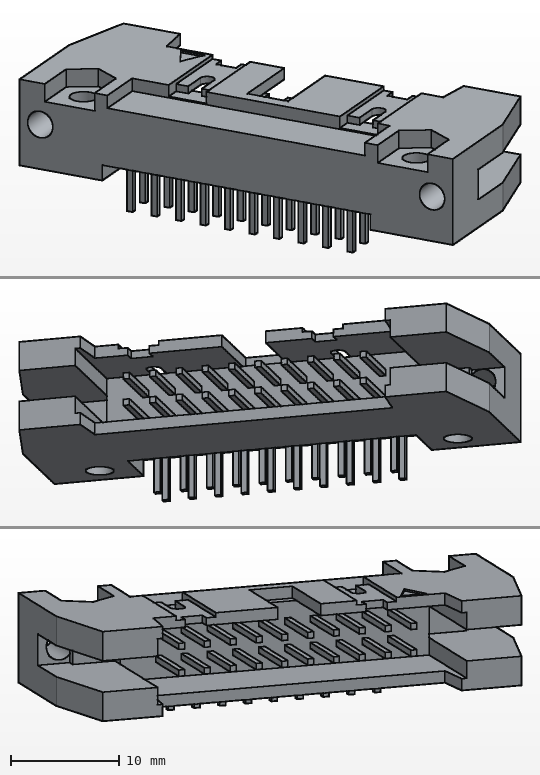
import cadquery as cq
import math


LENGTH = 45.0
DEPTH = 17.3
HEIGHT = 8.5
WALL_DEPTH = 13.8
EAR_TAPER_Y = 10.0
EAR_TIP_OUTER_X = 20.6
EAR_TIP_INNER_X = 14.7
EAR_ROOT_INNER_X = 14.35
MID_Z = HEIGHT / 2

WALL = 1.12
CAVITY_HALF_LENGTH = 15.2
CAVITY_FLOOR_Y = 7.35
SLOT_HEIGHT = 2.95
SLOT_INNER_FLOOR_Y = 5.95
SLOT_OUTER_FLOOR_Y = 5.15
SLOT_STEP_X = 19.35

HOLE_DIAMETER = 2.6
LATCH_HOLE_X = 20.35
LATCH_HOLE_Z = 4.4
MOUNT_HOLE_X = 17.3
MOUNT_HOLE_Y = 2.8
NUT_WIDTH = 5.18
NUT_POCKET_DEPTH = 1.75

TOP_STEP_LENGTH = 26.75
TOP_STEP_DEPTH = 1.25
STEP_WIDTH = 5.0
BOTTOM_STEP_LENGTH = 27.8
BOTTOM_STEP_HEIGHT = 1.55

KEY_WIDTH = 4.25
KEY_ROOT_Y = 6.35
CHANNEL_PITCHES = (-3, 4)
CHANNEL_WIDTH = 3.9
CHANNEL_DEPTH = 0.4
CHANNEL_STEP_Y = 6.5
NOTCH_WIDTH = 2.05
NOTCH_ROOT_Y = 12.75
WINDOW_WIDTH = 1.4
WINDOW_TIP_Y = 9.65

PIN_COUNT = 10
PIN_ROW_SPAN = 22.85
PIN_PITCH = PIN_ROW_SPAN / (PIN_COUNT - 1)
PIN_SIZE = 0.6
PIN_TIP_Y = 13.45
PIN_TIP_Z = -2.9
REAR_PIN_Y = 1.05

MARK_WIDTH = 2.5
MARK_TOP_Y = 13.4
MARK_TIP_Y = 10.95
MARK_DEPTH = 0.2


def block(x_range, y_range, z_range):
    """Box between the given limits on each axis."""
    (x0, x1), (y0, y1), (z0, z1) = x_range, y_range, z_range
    return cq.Workplane("XY").box(x1 - x0, y1 - y0, z1 - z0, centered=False).translate((x0, y0, z0))


def span(center, width):
    return (center - width / 2, center + width / 2)


def housing_blank():
    half_outline = [
        (EAR_ROOT_INNER_X, WALL_DEPTH),
        (EAR_TIP_INNER_X, DEPTH),
        (EAR_TIP_OUTER_X, DEPTH),
        (LENGTH / 2, EAR_TAPER_Y),
        (LENGTH / 2, 0),
    ]
    mirrored = [(-x, y) for x, y in reversed(half_outline)]
    return cq.Workplane("XY").polyline(half_outline + mirrored).close().extrude(HEIGHT)


def cavity_and_latch_slots():
    slot_z = span(MID_Z, SLOT_HEIGHT)
    cavity = block(span(0, 2 * CAVITY_HALF_LENGTH), (CAVITY_FLOOR_Y, DEPTH), (WALL, HEIGHT - WALL))
    for side in (-1, 1):
        inner_x = sorted((side * CAVITY_HALF_LENGTH, side * SLOT_STEP_X))
        outer_x = sorted((side * SLOT_STEP_X, side * LENGTH / 2))
        cavity = cavity.union(block(inner_x, (SLOT_INNER_FLOOR_Y, DEPTH), slot_z))
        cavity = cavity.union(block(outer_x, (SLOT_OUTER_FLOOR_Y, DEPTH), slot_z))
    return cavity


def end_holes(side):
    """Latch hole along Y, mounting hole along Z and its nut pocket at one end."""
    radius = HOLE_DIAMETER / 2
    latch_hole = (
        cq.Workplane("XZ")
        .center(side * LATCH_HOLE_X, LATCH_HOLE_Z)
        .circle(radius)
        .extrude(-SLOT_OUTER_FLOOR_Y)
    )
    mount = cq.Workplane("XY").center(side * MOUNT_HOLE_X, MOUNT_HOLE_Y)
    mount_hole = mount.circle(radius).extrude(HEIGHT)
    nut_radius = NUT_WIDTH / math.sqrt(3)
    pocket = (
        cq.Workplane("XY", origin=(side * MOUNT_HOLE_X, MOUNT_HOLE_Y, HEIGHT - NUT_POCKET_DEPTH))
        .moveTo(-NUT_WIDTH / 2, -MOUNT_HOLE_Y)
        .lineTo(-NUT_WIDTH / 2, nut_radius / 2)
        .lineTo(0, nut_radius)
        .lineTo(NUT_WIDTH / 2, nut_radius / 2)
        .lineTo(NUT_WIDTH / 2, -MOUNT_HOLE_Y)
        .close()
        .extrude(NUT_POCKET_DEPTH)
    )
    return latch_hole.union(mount_hole).union(pocket)


def rear_steps():
    top = block(span(0, TOP_STEP_LENGTH), (0, STEP_WIDTH), (HEIGHT - TOP_STEP_DEPTH, HEIGHT))
    bottom = block(span(0, BOTTOM_STEP_LENGTH), (0, STEP_WIDTH), (0, BOTTOM_STEP_HEIGHT))
    return top.union(bottom)


def key_slot():
    return block(span(0, KEY_WIDTH), (KEY_ROOT_Y, DEPTH), (HEIGHT - WALL, HEIGHT))


def channel(x):
    """Shallow channel across the top wall, as deep as the wall at its rear, with a notch and a window."""
    floor = block(span(x, CHANNEL_WIDTH), (STEP_WIDTH, DEPTH), (HEIGHT - CHANNEL_DEPTH, HEIGHT))
    rear = block(span(x, CHANNEL_WIDTH), (STEP_WIDTH, CHANNEL_STEP_Y), (HEIGHT - WALL, HEIGHT))
    notch = block(span(x, NOTCH_WIDTH), (NOTCH_ROOT_Y, DEPTH), (HEIGHT - WALL, HEIGHT))
    radius = WINDOW_WIDTH / 2
    window = (
        cq.Workplane("XY", origin=(x, 0, HEIGHT - WALL))
        .moveTo(-radius, CHANNEL_STEP_Y)
        .lineTo(-radius, WINDOW_TIP_Y - radius)
        .threePointArc((0, WINDOW_TIP_Y), (radius, WINDOW_TIP_Y - radius))
        .lineTo(radius, CHANNEL_STEP_Y)
        .close()
        .extrude(WALL)
    )
    return floor.union(rear).union(notch).union(window)


def pin_one_mark():
    x = -PIN_ROW_SPAN / 2
    corners = [(x - MARK_WIDTH / 2, MARK_TOP_Y), (x + MARK_WIDTH / 2, MARK_TOP_Y), (x, MARK_TIP_Y)]
    mark_plane = cq.Workplane("XY").workplane(offset=HEIGHT - MARK_DEPTH)
    return mark_plane.polyline(corners).close().extrude(MARK_DEPTH)


def bent_pin(x, tail_y, contact_z):
    """Square pin: contact along Y inside the cavity, solder tail along Z below the housing."""
    half = PIN_SIZE / 2
    contact = block(span(x, PIN_SIZE), (tail_y - half, PIN_TIP_Y), span(contact_z, PIN_SIZE))
    tail = block(span(x, PIN_SIZE), span(tail_y, PIN_SIZE), (PIN_TIP_Z, contact_z + half))
    return contact.union(tail)


result = housing_blank().cut(cavity_and_latch_slots()).cut(rear_steps()).cut(key_slot()).cut(pin_one_mark())
for end in (-1, 1):
    result = result.cut(end_holes(end))
for pitches in CHANNEL_PITCHES:
    result = result.cut(channel(pitches * PIN_PITCH))
for column in range(PIN_COUNT):
    pin_x = column * PIN_PITCH - PIN_ROW_SPAN / 2
    result = result.union(bent_pin(pin_x, REAR_PIN_Y, MID_Z + PIN_PITCH / 2))
    result = result.union(bent_pin(pin_x, REAR_PIN_Y + PIN_PITCH, MID_Z - PIN_PITCH / 2))